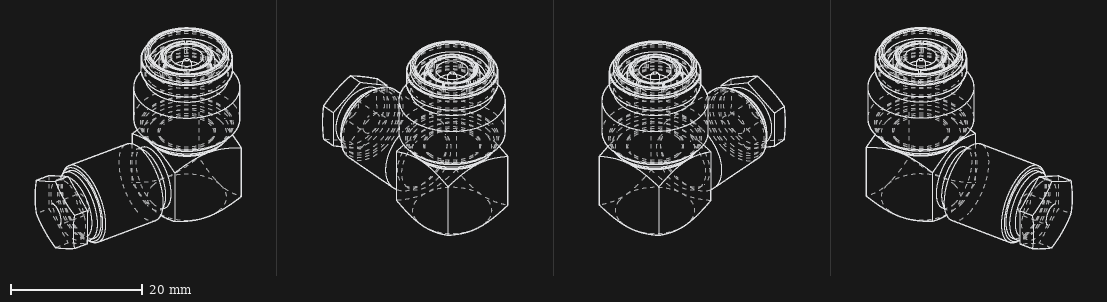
import cadquery as cq
import math


block_half = 6.05
block_bevel_angle = 30.0

overall_length = 32.1

coupling_top = 21.38
nut_diameter = 16.2
nut_radius = nut_diameter / 2
neck_radius = 6.35
collar_radius = 7.0
collar_bottom = 17.8
collar_top = 20.2
shoulder_bottom = 14.7
nut_bottom = 8.73
skirt_top = 7.75
skirt_step = 7.1
skirt_bottom = 6.58
skirt_radius = 6.87
skirt_end_radius = 6.52
swivel_radius = 4.35
swivel_bevel = 0.2
edge_bevel = 0.13
rim_outer_bevel = 0.25
rim_outer_drop = 0.1

mouth_radius = 5.65
mouth_bevel = 0.22
mouth_bevel_drop = 0.1
mouth_depth = 1.65
cavity_radius = 5.1
cavity_depth = 3.27

finger_outer_radius = 4.27
finger_inner_radius = 3.53
finger_inner_bevel = 0.2
finger_tip_radius = 3.9
finger_nose_length = 0.95
finger_top_depth = 0.8
finger_count = 6
finger_slot_width = 0.32

insulator_radius = 3.27
insulator_hole_radius = 2.45
insulator_hole_depth = 3.53
insulator_top_depth = 1.0

pin_radius = 0.7
pin_tip_radius = 0.3
pin_top_depth = 1.5
pin_nose_length = 0.8

arm_radius = 6.25
arm_neck_radius = 4.98
arm_neck_end = 7.0
barrel_end = 19.0
barrel_bevel = 0.32
ring_radius = 5.5
ring_end = 19.68
gland_radius = 4.88
hex_length = 2.55
arm_end = overall_length - nut_radius
hex_start = arm_end - hex_length
hex_corner_radius = arm_radius
hex_face_radius = 5.5
hex_bevel_depth = 0.22

cable_hole_radius = 1.7
cable_hole_depth = 5.15
cable_hole_round = 0.32

cavity_floor = coupling_top - cavity_depth
pin_base = coupling_top - insulator_hole_depth


def turned(points):
    """Solid of revolution about Z from (radius, height) points."""
    return cq.Workplane("XZ").polyline(points).close().revolve(360, (0, 0), (0, 1))


def along_arm(solid):
    """Lay a solid built along +Z down along -Y."""
    return solid.rotate((0, 0, 0), (1, 0, 0), 90)


def round_nosed_rod(radius, tip_radius, nose_length, base, top):
    """Rod on Z whose side curves smoothly in to a flat tip."""
    narrowing = radius - tip_radius
    curve_radius = (nose_length ** 2 + narrowing ** 2) / (2 * narrowing)
    half_angle = math.asin(nose_length / curve_radius) / 2
    nose_start = top - nose_length
    middle = (
        radius - curve_radius * (1 - math.cos(half_angle)),
        nose_start + curve_radius * math.sin(half_angle),
    )
    profile = (
        cq.Workplane("XZ")
        .moveTo(0, base)
        .lineTo(radius, base)
        .lineTo(radius, nose_start)
        .threePointArc(middle, (tip_radius, top))
        .lineTo(0, top)
        .close()
    )
    return profile.revolve(360, (0, 0), (0, 1))


def body_block():
    """Cube whose top and bottom corners are bevelled by cones about Z."""
    side = 2 * block_half
    corner_radius = block_half * math.sqrt(2)
    bevel_drop = (corner_radius - block_half) * math.tan(math.radians(block_bevel_angle))
    envelope = turned([
        (0, -block_half),
        (block_half, -block_half),
        (corner_radius, bevel_drop - block_half),
        (corner_radius, block_half - bevel_drop),
        (block_half, block_half),
        (0, block_half),
    ])
    return cq.Workplane("XY").box(side, side, side).intersect(envelope)


def coupling_nut():
    """Stepped outer nut with its mating cavity."""
    lower_cone_radius = nut_radius - (nut_bottom - skirt_top)
    return turned([
        (0, 0),
        (swivel_radius - swivel_bevel, 0),
        (swivel_radius - swivel_bevel, block_half),
        (swivel_radius, block_half + swivel_bevel),
        (swivel_radius, skirt_bottom),
        (skirt_end_radius, skirt_bottom),
        (skirt_radius, skirt_step),
        (skirt_radius, skirt_top),
        (lower_cone_radius, skirt_top),
        (nut_radius, nut_bottom),
        (nut_radius, shoulder_bottom),
        (neck_radius, shoulder_bottom + nut_radius - neck_radius),
        (neck_radius, collar_bottom),
        (collar_radius - edge_bevel, collar_bottom),
        (collar_radius, collar_bottom + edge_bevel),
        (collar_radius, collar_top - edge_bevel),
        (collar_radius - edge_bevel, collar_top),
        (neck_radius, collar_top),
        (neck_radius, coupling_top - rim_outer_drop),
        (neck_radius - rim_outer_bevel, coupling_top),
        (mouth_radius + mouth_bevel, coupling_top),
        (mouth_radius, coupling_top - mouth_bevel_drop),
        (mouth_radius, coupling_top - mouth_depth),
        (cavity_radius, coupling_top - mouth_depth - (mouth_radius - cavity_radius)),
        (cavity_radius, cavity_floor),
        (insulator_hole_radius, cavity_floor),
        (insulator_hole_radius, pin_base),
        (0, pin_base),
    ])


def spring_fingers():
    """Round-lipped sleeve split into fingers by radial slots."""
    top = coupling_top - finger_top_depth
    height = top - cavity_floor
    sleeve = round_nosed_rod(finger_outer_radius, finger_tip_radius, finger_nose_length, cavity_floor, top)
    bore = turned([
        (0, cavity_floor),
        (finger_inner_radius, cavity_floor),
        (finger_inner_radius, top - finger_inner_bevel),
        (finger_inner_radius + finger_inner_bevel, top),
        (0, top),
    ])
    sleeve = sleeve.cut(bore)
    slot = cq.Workplane("XY").box(
        finger_slot_width, finger_outer_radius, height, centered=(True, False, False)
    ).translate((0, 0, cavity_floor))
    for index in range(finger_count):
        sleeve = sleeve.cut(slot.rotate((0, 0, 0), (0, 0, 1), index * 360 / finger_count))
    return sleeve


def insulator():
    """Plain ring around the centre pin."""
    height = cavity_depth - insulator_top_depth
    ring = cq.Workplane("XY").workplane(offset=cavity_floor)
    return ring.circle(insulator_radius).circle(insulator_hole_radius).extrude(height)


def centre_pin():
    """Pin with a rounded nose and a small flat tip."""
    top = coupling_top - pin_top_depth
    return round_nosed_rod(pin_radius, pin_tip_radius, pin_nose_length, pin_base, top)


def arm_barrel():
    """Turned cable arm, from the block to the hexagon."""
    return along_arm(turned([
        (0, 0),
        (arm_neck_radius, 0),
        (arm_neck_radius, arm_neck_end),
        (arm_radius, arm_neck_end + arm_radius - arm_neck_radius),
        (arm_radius, barrel_end - barrel_bevel),
        (arm_radius - barrel_bevel, barrel_end),
        (ring_radius, barrel_end),
        (ring_radius, ring_end),
        (gland_radius, ring_end + ring_radius - gland_radius),
        (gland_radius, hex_start),
        (0, hex_start),
    ]))


def clamp_hexagon():
    """Hexagon nut with corners up and down and a bevelled outer face."""
    prism = (
        cq.Workplane("XY")
        .workplane(offset=hex_start)
        .polygon(6, 2 * hex_corner_radius)
        .extrude(hex_length)
        .rotate((0, 0, 0), (0, 0, 1), 90)
    )
    envelope = turned([
        (0, hex_start),
        (hex_corner_radius, hex_start),
        (hex_corner_radius, arm_end - hex_bevel_depth),
        (hex_face_radius, arm_end),
        (0, arm_end),
    ])
    return along_arm(prism.intersect(envelope))


def cable_hole():
    """Blind cable bore with a rounded mouth, as a cutting tool."""
    mouth_radius_at_face = cable_hole_radius + cable_hole_round
    bend = cable_hole_round * (1 - math.sin(math.pi / 4))
    profile = (
        cq.Workplane("XZ")
        .moveTo(0, arm_end - cable_hole_depth)
        .lineTo(cable_hole_radius, arm_end - cable_hole_depth)
        .lineTo(cable_hole_radius, arm_end - cable_hole_round)
        .threePointArc((cable_hole_radius + bend, arm_end - bend), (mouth_radius_at_face, arm_end))
        .lineTo(0, arm_end)
        .close()
    )
    return along_arm(profile.revolve(360, (0, 0), (0, 1)))


result = (
    body_block()
    .union(coupling_nut())
    .union(spring_fingers())
    .union(insulator())
    .union(centre_pin())
    .union(arm_barrel())
    .union(clamp_hexagon())
    .cut(cable_hole())
)